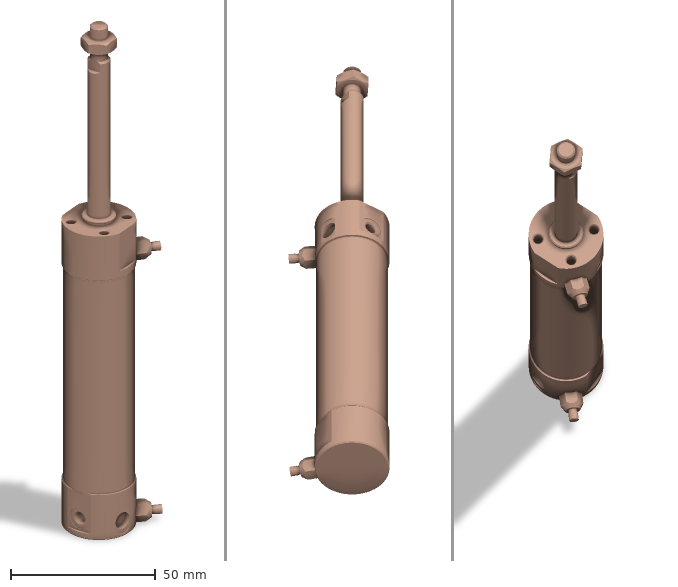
import cadquery as cq
import math

overall_height = 196.0

cover_diameter = 25.9
tube_diameter = 25.0
bottom_cover_top = 17.8
top_cover_bottom = 102.4
top_cover_top = 119.6
seam_width = 0.5
seam_depth = 0.2
base_chamfer = 0.4
flat_distance = 12.0
bottom_flat_start = 2.4
top_flat_start = 105.0

collar_diameter = 12.0
collar_neck_diameter = 11.2
collar_neck_height = 1.0
collar_top = 121.8
collar_chamfer = 0.4

mount_spacing = 14.0
mount_mouth_diameter = 4.1
mount_diameter = 3.3
mount_depth = 7.8
drill_tip_angle = 118.0

bottom_port_height = 7.0
top_port_height = 109.0
port_seat_diameter = 8.0
port_seat_depth = 0.2
port_mouth_diameter = 5.0
port_diameter = 4.0
port_depth = 5.0

pocket_drop = 1.0
pocket_seat_diameter = 9.8
pocket_seat_distance = 12.5
pocket_diameter = 6.3
pocket_depth = 2.0
bottom_pocket_angle = -15.0

valve_drop = 3.1
bottom_valve_angle = 42.0
top_valve_angle = 50.3
valve_seat_distance = 11.8
valve_hex_corners = 8.0
valve_hex_end = 16.0
valve_cone_end = 18.2
valve_cone_end_diameter = 5.3
valve_neck_diameter = 3.1
valve_neck_end = 19.6
valve_diameter = 3.3
valve_end = 22.0

rod_diameter = 8.0
rod_shoulder = 183.1
thread_diameter = 6.3
rod_chamfer = 0.5
wrench_width = 6.0
wrench_bottom = 178.6
wrench_runout = 0.5
nut_width = 11.0
nut_bottom = 186.9
nut_height = 4.5
nut_face_diameter = 10.4
nut_chamfer_angle = 30.0

top_pocket_angle = 90 - bottom_pocket_angle
bottom_port_angle = -90
top_port_angle = 180

cover_radius = cover_diameter / 2
cut_clearance = 2.0
hex_half_side_angle = 30.0


def disc(diameter, bottom, top):
    """Upright cylinder on the Z axis."""
    return cq.Workplane("XY").workplane(offset=bottom).circle(diameter / 2).extrude(top - bottom)


def radial_plane(angle, distance, height):
    """Workplane whose normal points outward from the Z axis at the given angle."""
    direction = cq.Vector(math.cos(math.radians(angle)), math.sin(math.radians(angle)), 0)
    origin = direction * distance + cq.Vector(0, 0, height)
    return cq.Workplane(cq.Plane(origin=origin, xDir=(0, 0, 1), normal=direction))


def radial_bore(angle, height, diameter, inner, outer=cover_radius + cut_clearance):
    """Cutter for a round hole along a radial axis, between two distances from the Z axis."""
    return radial_plane(angle, inner, height).circle(diameter / 2).extrude(outer - inner)


def cover(bottom, top, flat_start, flat_end, flat_angle):
    """Cover with two opposite flats between two heights."""
    body = disc(cover_diameter, bottom, top)
    height = flat_end - flat_start
    for angle in (flat_angle, flat_angle + 180):
        flat = radial_plane(angle, flat_distance, (flat_start + flat_end) / 2)
        body = body.cut(flat.rect(height, cover_diameter).extrude(cover_radius))
    return body


def port(angle, height):
    """Cutter for an air port: shallow seat, chamfered mouth and threaded hole."""
    seat_distance = flat_distance - port_seat_depth
    mouth_depth = (port_mouth_diameter - port_diameter) / 2
    seat = radial_bore(angle, height, port_seat_diameter, seat_distance)
    hole = radial_bore(angle, height, port_diameter, flat_distance - port_depth)
    mouth = (
        radial_plane(angle, seat_distance - mouth_depth, height)
        .circle(port_diameter / 2)
        .workplane(offset=mouth_depth)
        .circle(port_mouth_diameter / 2)
        .loft()
    )
    return seat.union(hole).union(mouth)


def pocket(angle, height):
    """Cutter for a pocket: spot face and blind hole."""
    seat = radial_bore(angle, height, pocket_seat_diameter, pocket_seat_distance)
    hole = radial_bore(angle, height, pocket_diameter, pocket_seat_distance - pocket_depth)
    return seat.union(hole)


def mounting_hole():
    """Cutter for a countersunk, drilled hole, opening at the origin and running down."""
    radius = mount_diameter / 2
    mouth_radius = mount_mouth_diameter / 2
    mouth_depth = mouth_radius - radius
    tip = radius / math.tan(math.radians(drill_tip_angle / 2))
    profile = [
        (0, 0),
        (mouth_radius, 0),
        (radius, -mouth_depth),
        (radius, -mount_depth),
        (0, -mount_depth - tip),
    ]
    return cq.Workplane("XZ").polyline(profile).close().revolve(360, (0, 0), (0, 1))


def seam(height):
    """Cutter for the shallow groove round the tube end."""
    ring = disc(cover_diameter + cut_clearance, height, height + seam_width)
    return ring.cut(disc(tube_diameter - 2 * seam_depth, height, height + seam_width))


def collar():
    neck_top = top_cover_top + collar_neck_height
    lip = disc(collar_diameter, neck_top, collar_top).edges().chamfer(collar_chamfer)
    return disc(collar_neck_diameter, top_cover_top, neck_top).union(lip)


def make_housing():
    bottom_cover = cover(0, bottom_cover_top, bottom_flat_start, bottom_cover_top, bottom_port_angle)
    bottom_cover = bottom_cover.faces("<Z").edges().chamfer(base_chamfer)
    top_cover = cover(top_cover_bottom, top_cover_top, top_flat_start, top_cover_top, top_port_angle)
    body = disc(tube_diameter, bottom_cover_top, top_cover_bottom).union(bottom_cover).union(top_cover)
    body = body.union(collar())

    body = body.cut(seam(bottom_cover_top)).cut(seam(top_cover_bottom - seam_width))
    body = body.cut(port(bottom_port_angle, bottom_port_height))
    body = body.cut(port(top_port_angle, top_port_height))
    body = body.cut(pocket(bottom_pocket_angle, bottom_port_height - pocket_drop))
    body = body.cut(pocket(top_pocket_angle, top_port_height - pocket_drop))
    for x in (-mount_spacing / 2, mount_spacing / 2):
        for y in (-mount_spacing / 2, mount_spacing / 2):
            body = body.cut(mounting_hole().translate((x, y, top_cover_top)))
    return body.cut(disc(rod_diameter, top_cover_bottom, collar_top))


def make_valve(angle, height):
    """Valve along a radial axis, with one pair of hexagon sides level."""
    corner_radius = valve_hex_corners / 2
    hexagon = (
        radial_plane(angle, valve_seat_distance, height)
        .transformed(rotate=(0, 0, hex_half_side_angle))
        .polygon(6, valve_hex_corners)
        .extrude(valve_cone_end - valve_seat_distance)
    )
    cone = (
        radial_plane(angle, valve_hex_end, height)
        .circle(corner_radius)
        .workplane(offset=valve_cone_end - valve_hex_end)
        .circle(valve_cone_end_diameter / 2)
        .loft()
    )
    envelope = radial_bore(angle, height, valve_hex_corners, valve_seat_distance, valve_hex_end).union(cone)
    neck = radial_bore(angle, height, valve_neck_diameter, valve_cone_end, valve_neck_end)
    head = radial_bore(angle, height, valve_diameter, valve_neck_end, valve_end)
    return hexagon.intersect(envelope).union(neck).union(head)


def make_rod():
    body = disc(rod_diameter, top_cover_bottom, rod_shoulder).faces(">Z").edges().chamfer(rod_chamfer)
    thread = disc(thread_diameter, rod_shoulder, overall_height).faces(">Z").edges().chamfer(rod_chamfer)
    body = body.union(thread)
    inside, outside = wrench_width / 2, rod_diameter / 2
    profile = [
        (inside, rod_shoulder),
        (inside, wrench_bottom + wrench_runout),
        (outside, wrench_bottom),
        (outside, rod_shoulder),
    ]
    flat = cq.Workplane("YZ").polyline(profile).close().extrude(rod_diameter / 2, both=True)
    return body.cut(flat).cut(flat.mirror("XZ"))


def make_nut():
    corner_diameter = nut_width / math.cos(math.radians(hex_half_side_angle))
    blank = (
        cq.Workplane("XY")
        .workplane(offset=nut_bottom)
        .transformed(rotate=(0, 0, hex_half_side_angle))
        .polygon(6, corner_diameter)
        .extrude(nut_height)
    )
    side = (corner_diameter - nut_face_diameter) / 2
    drop = side * math.tan(math.radians(nut_chamfer_angle))
    envelope = disc(corner_diameter, nut_bottom, nut_bottom + nut_height).edges().chamfer(drop, side)
    return blank.intersect(envelope).cut(disc(thread_diameter, nut_bottom, nut_bottom + nut_height))


valves = [
    make_valve(bottom_valve_angle, bottom_port_height - valve_drop),
    make_valve(top_valve_angle, top_port_height - valve_drop),
]
housing = make_housing()
for valve in valves:
    housing = housing.cut(valve)
rod = make_rod()
nut = make_nut()

result = cq.Compound.makeCompound([housing.val(), rod.val(), nut.val(), *[valve.val() for valve in valves]])